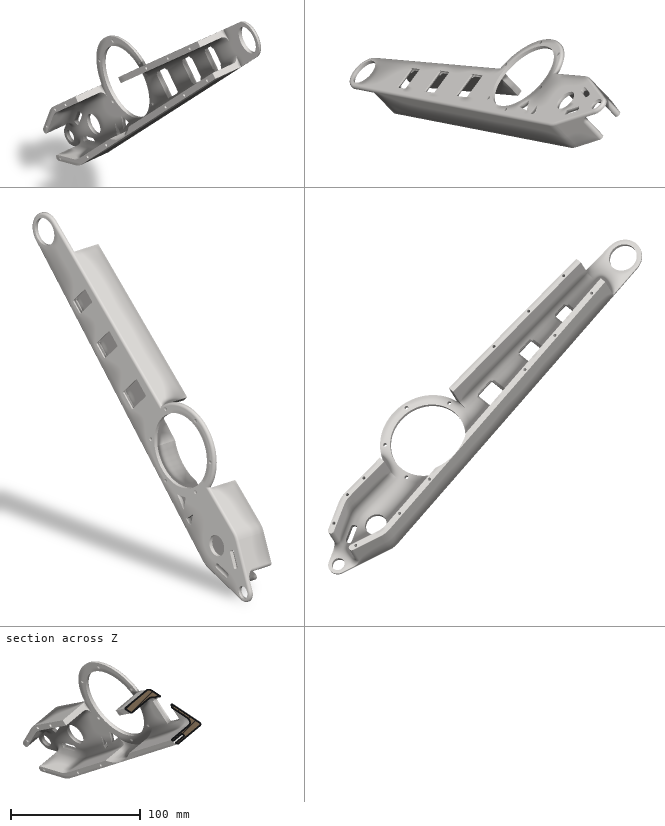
import cadquery as cq
import math

arm_length = 325.4
arm_angle = 45.88

depth = 28.0
plate_thickness = 3.0
wall_thickness = 5.0
floor_fillet = 5.0
back_edge_fillet = 2.0

tip_radius = 8.0
tip_hole_radius = 5.0
far_radius = 15.0
far_hole_radius = 11.0

bend_along = 37.8
bend_across = 25.0
bend_radius = 18.0

hub_along = 119.05
hub_across = 16.2
hub_radius = 38.0
hub_bore_radius = 30.0
hub_screw_circle_radius = 34.0
hub_screw_count = 6
screw_radius = 1.5

idler_along = 42.5
idler_across = -0.5
idler_radius = 8.5

tip_wall_start = 12.0
far_wall_end = 298.0

wall_screw_radius = 1.25
wall_screw_depth = 10.0
upper_screw_alongs = [17.8, 42.8, 61.0, 204.5, 242.8, 281.5]
lower_screw_alongs = [15.0, 57.0, 92.3, 205.5, 241.0, 284.5]

windows = [
    (170.9, 186.4, -10.4, 11.6),
    (216.5, 230.3, -10.3, 10.6),
    (256.8, 268.7, -10.2, 9.4),
]
window_corner_radius = 1.0
window_chamfer = 1.75

slot_start = 18.8
slot_length = 15.3
slot_width = 4.6
slot_wall_gap = 2.0
slot_corner_radius = 1.8

truss_openings = [
    [(88.5, -5.3), (95.0, -12.2), (82.2, -14.7)],
    [(74.4, -7.2), (75.7, -16.9), (71.7, -17.4), (69.4, -15.4)],
]

overshoot = 40.0

tilt = math.radians(arm_angle)
along_x = math.cos(tilt)
along_z = math.sin(tilt)
tip_x = -(hub_along * along_x - hub_across * along_z)
tip_z = -(hub_along * along_z + hub_across * along_x)


def arm_plane(height=0.0):
    """Working plane at a height above the back face; the hub centre is X = Z = 0."""
    return cq.Workplane(
        cq.Plane(origin=(tip_x, -height, tip_z), xDir=(along_x, 0, along_z), normal=(0, -1, 0))
    )


def world_point(point, height):
    """Part coordinates of a point (along, across) at a height above the back face."""
    along, across = point
    return (
        tip_x + along * along_x - across * along_z,
        -height,
        tip_z + along * along_z + across * along_x,
    )


def step(point, direction, distance):
    return (point[0] + direction[0] * distance, point[1] + direction[1] * distance)


def mirrored(point):
    return (point[0], -point[1])


bend = (bend_along, bend_across)


def edge_normal_angle(circle_along, radius, side):
    """Angle of the outward normal of the edge from the bend tangent to an end circle."""
    to_bend = math.atan2(bend_across, bend_along - circle_along)
    distance = math.hypot(bend_along - circle_along, bend_across)
    return to_bend + side * math.acos(radius / distance)


def unit(angle):
    return (math.cos(angle), math.sin(angle))


tip_normal_angle = edge_normal_angle(0, tip_radius, 1)
far_normal_angle = edge_normal_angle(arm_length, far_radius, -1)
tip_normal = unit(tip_normal_angle)
far_normal = unit(far_normal_angle)
tip_direction = (tip_normal[1], -tip_normal[0])
tip_tangent = step((0, 0), tip_normal, tip_radius)
far_tangent = step((arm_length, 0), far_normal, far_radius)


def inside_bend(inset):
    """Corner of the two outer edges after both are moved inward by the inset."""
    half_turn = (tip_normal_angle - far_normal_angle) / 2
    middle = unit((tip_normal_angle + far_normal_angle) / 2)
    return step(bend, middle, -inset / math.cos(half_turn))


def tip_edge_point(along):
    """Point of the outer tip edge at a distance along the arm."""
    return step(tip_tangent, tip_direction, (along - tip_tangent[0]) / tip_direction[0])


def far_edge_point(along):
    """Point of the long outer edge at a distance along the arm."""
    slope = (far_tangent[1] - bend[1]) / (far_tangent[0] - bend[0])
    return (along, bend[1] + slope * (along - bend[0]))


def round_bends(solid, corner, radius):
    """Round the two mirrored edges that stand at a bend corner."""
    for point in (corner, mirrored(corner)):
        nearest = cq.selectors.NearestToPointSelector(world_point(point, depth / 2))
        solid = solid.edges("|Y").edges(nearest).fillet(radius)
    return solid


def arm_outline(height):
    blank = (
        arm_plane()
        .moveTo(*tip_tangent)
        .lineTo(*bend)
        .lineTo(*far_tangent)
        .threePointArc((arm_length + far_radius, 0), mirrored(far_tangent))
        .lineTo(*mirrored(bend))
        .lineTo(*mirrored(tip_tangent))
        .threePointArc((-tip_radius, 0), tip_tangent)
        .close()
        .extrude(height)
    )
    return round_bends(blank, bend, bend_radius)


def disc(along, across, radius, height, base=0.0):
    return arm_plane(base).center(along, across).circle(radius).extrude(height)


def make_cavity():
    """Space between the walls, with its floor edges filleted, open at both arm ends."""
    wall_end_outer = tip_edge_point(tip_wall_start)
    wall_end_middle = step(wall_end_outer, tip_normal, -wall_thickness / 2)
    wall_end_nose = step(wall_end_middle, tip_direction, -wall_thickness / 2)
    wall_end_inner = step(wall_end_outer, tip_normal, -wall_thickness)
    run_out = step(wall_end_outer, tip_direction, wall_thickness)
    clear = step(run_out, tip_normal, overshoot)
    inner_bend = inside_bend(wall_thickness)
    open_end_edge = far_edge_point(arm_length + overshoot)
    open_end = step(open_end_edge, far_normal, -wall_thickness)
    cavity = (
        arm_plane(plate_thickness)
        .moveTo(*open_end)
        .lineTo(*inner_bend)
        .lineTo(*wall_end_inner)
        .threePointArc(wall_end_nose, wall_end_outer)
        .lineTo(*run_out)
        .lineTo(*clear)
        .lineTo(-overshoot, clear[1])
        .lineTo(-overshoot, -clear[1])
        .lineTo(*mirrored(clear))
        .lineTo(*mirrored(run_out))
        .lineTo(*mirrored(wall_end_outer))
        .threePointArc(mirrored(wall_end_nose), mirrored(wall_end_inner))
        .lineTo(*mirrored(inner_bend))
        .lineTo(*mirrored(open_end))
        .close()
        .extrude(depth)
    )
    cavity = round_bends(cavity, inner_bend, bend_radius)
    floor_points = [
        step(far_edge_point(hub_along), far_normal, -wall_thickness),
        inner_bend,
        step(tip_edge_point((tip_wall_start + bend_along) / 2), tip_normal, -wall_thickness),
        wall_end_nose,
        step(wall_end_outer, tip_direction, wall_thickness / 2),
    ]
    floor_edges = cavity.faces(">Y").edges()
    chosen = cq.Workplane(cavity.val())
    picked = []
    for point in floor_points + [mirrored(p) for p in floor_points]:
        spot = cq.Vertex.makeVertex(*world_point(point, plate_thickness))
        picked.append(min(floor_edges.vals(), key=lambda edge: edge.distance(spot)))
    return chosen.newObject(picked).fillet(floor_fillet)


def make_hub_clearance():
    """Space above the plate around the hub, open past the upper side of the arm."""
    opening = (
        arm_plane(plate_thickness)
        .center(hub_along, hub_across + overshoot / 2)
        .rect(2 * hub_radius, overshoot)
        .extrude(depth)
    )
    return disc(hub_along, hub_across, hub_radius, depth, plate_thickness).union(opening)


def make_far_clearance():
    """Space above the plate past the far ends of the walls."""
    length = arm_length + overshoot - far_wall_end
    return (
        arm_plane(plate_thickness)
        .center(far_wall_end + length / 2, 0)
        .rect(length, 4 * bend_across)
        .extrude(depth)
    )


def make_back_trim():
    """Material kept by the rounded rear edge of the plate outline."""
    hub = disc(hub_along, hub_across, hub_radius, depth)
    outline = arm_outline(depth).union(hub)
    return outline.faces(">Y").edges().fillet(back_edge_fillet)


def make_window(window):
    """Rounded rectangular window with a chamfer around its floor edge."""
    start, end, low, high = window
    length = end - start
    width = high - low
    centre = ((start + end) / 2, (low + high) / 2)
    through = arm_plane().center(*centre).rect(length, width).extrude(plate_thickness + floor_fillet)
    through = through.edges("|Y").fillet(window_corner_radius)
    flare = (
        arm_plane(plate_thickness - window_chamfer)
        .center(*centre)
        .rect(length, width)
        .workplane(offset=window_chamfer)
        .rect(length + 2 * window_chamfer, width + 2 * window_chamfer)
        .loft()
    )
    return through.union(flare)


def make_slot(side):
    """Slot through the plate beside one tip wall (side is 1 or -1)."""
    along_edge = slot_start + slot_length / 2
    inset = tip_radius - wall_thickness - slot_wall_gap - slot_width / 2
    centre = step(step((0, 0), tip_direction, along_edge), tip_normal, inset)
    turn = math.degrees(math.atan2(tip_direction[1], tip_direction[0]))
    return (
        arm_plane()
        .center(centre[0], side * centre[1])
        .transformed(rotate=(0, 0, side * turn))
        .rect(slot_length, slot_width)
        .extrude(plate_thickness + floor_fillet)
        .edges("|Y")
        .fillet(slot_corner_radius)
    )


def wall_screw_point(along):
    """Middle of the upper wall's open edge at a distance along the arm."""
    if along < bend_along:
        return step(tip_edge_point(along), tip_normal, -wall_thickness / 2)
    return step(far_edge_point(along), far_normal, -wall_thickness / 2)


def make_wall_screws():
    points = [wall_screw_point(along) for along in upper_screw_alongs]
    points += [mirrored(wall_screw_point(along)) for along in lower_screw_alongs]
    base = arm_plane(depth - wall_screw_depth)
    return base.pushPoints(points).circle(wall_screw_radius).extrude(wall_screw_depth)


def make_hub_screws():
    """Ring of holes starting on the X axis of the part."""
    points = []
    for index in range(hub_screw_count):
        angle = 2 * math.pi * index / hub_screw_count - tilt
        points.append(step((hub_along, hub_across), unit(angle), hub_screw_circle_radius))
    return arm_plane().pushPoints(points).circle(screw_radius).extrude(plate_thickness)


hub_plate = disc(hub_along, hub_across, hub_radius, plate_thickness)
result = arm_outline(depth).cut(make_cavity())
result = result.cut(make_hub_clearance()).cut(make_far_clearance())
result = result.union(hub_plate).intersect(make_back_trim())

result = result.cut(disc(0, 0, tip_hole_radius, depth))
result = result.cut(disc(arm_length, 0, far_hole_radius, depth))
result = result.cut(disc(hub_along, hub_across, hub_bore_radius, depth))
result = result.cut(disc(idler_along, idler_across, idler_radius, plate_thickness))
for window in windows:
    result = result.cut(make_window(window))
for side in (1, -1):
    result = result.cut(make_slot(side))
for corners in truss_openings:
    opening = arm_plane().polyline(corners).close().extrude(plate_thickness + floor_fillet)
    result = result.cut(opening)
result = result.cut(make_wall_screws()).cut(make_hub_screws())